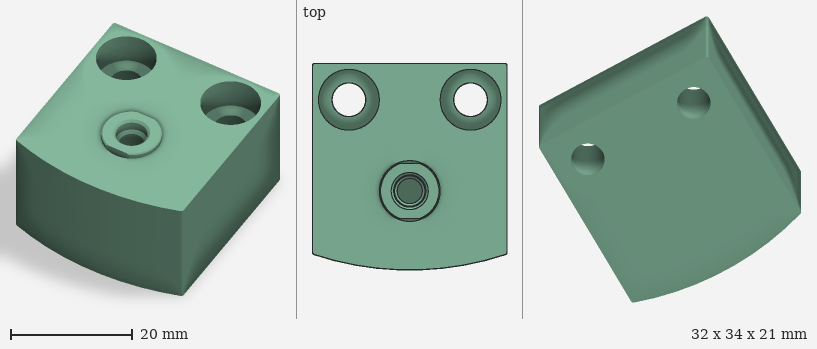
import cadquery as cq
import math

WIDTH = 32.0
LENGTH = 34.0
HEIGHT = 20.0
FRONT_RADIUS = 50.0
CORNER_RADIUS = 0.4
PIN_TO_BACK = 21.0

SCREW_SPACING = 20.0
SCREW_TO_BACK = 6.0
SCREW_HOLE_DIAMETER = 5.5
COUNTERBORE_DIAMETER = 10.0
COUNTERBORE_DEPTH = 5.7

PIN_DIAMETER = 10.0
PIN_PROJECTION = 1.0
PIN_CHAMFER = 0.2
FLATS_WIDTH = 9.0
FLATS_LENGTH = 3.0

MOUTH_DIAMETER = 6.1
RECESS_DIAMETER = 5.3
THREAD_LEAD_DIAMETER = 5.0
THREAD_DIAMETER = 4.13
RECESS_DEPTH = 2.0
BORE_DEPTH = 10.0

back_y = PIN_TO_BACK
front_y = back_y - LENGTH
half_width = WIDTH / 2
front_sagitta = FRONT_RADIUS - math.sqrt(FRONT_RADIUS**2 - half_width**2)
pin_top = HEIGHT + PIN_PROJECTION


def make_block():
    """Plain block with a convex front and rounded upright edges."""
    side_end_y = front_y + front_sagitta
    return (
        cq.Workplane("XY")
        .moveTo(-half_width, back_y)
        .lineTo(-half_width, side_end_y)
        .threePointArc((0, front_y), (half_width, side_end_y))
        .lineTo(half_width, back_y)
        .close()
        .extrude(HEIGHT)
        .edges("|Z")
        .fillet(CORNER_RADIUS)
    )


def cut_screw_holes(block):
    """Through holes with counterbores open at the top face."""
    screw_y = back_y - SCREW_TO_BACK
    half_spacing = SCREW_SPACING / 2
    return (
        block.faces(">Z")
        .workplane(origin=(0, 0, HEIGHT))
        .pushPoints([(-half_spacing, screw_y), (half_spacing, screw_y)])
        .cboreHole(SCREW_HOLE_DIAMETER, COUNTERBORE_DIAMETER, COUNTERBORE_DEPTH)
    )


def make_housing():
    """Screw-mounted block with a through bore for the pin."""
    pin_bore = cq.Workplane("XY").circle(PIN_DIAMETER / 2).extrude(HEIGHT)
    return cut_screw_holes(make_block()).cut(pin_bore)


def make_pin_bore():
    """Revolved bore: chamfered mouth, recess, ledge, conical lead-in and thread core hole."""
    mouth_radius = MOUTH_DIAMETER / 2
    recess_radius = RECESS_DIAMETER / 2
    lead_radius = THREAD_LEAD_DIAMETER / 2
    thread_radius = THREAD_DIAMETER / 2
    mouth_bottom = pin_top - (mouth_radius - recess_radius)
    recess_floor = pin_top - RECESS_DEPTH
    lead_bottom = recess_floor - (lead_radius - thread_radius)
    bore_floor = pin_top - BORE_DEPTH
    return (
        cq.Workplane("XZ")
        .moveTo(0, pin_top)
        .lineTo(mouth_radius, pin_top)
        .lineTo(recess_radius, mouth_bottom)
        .lineTo(recess_radius, recess_floor)
        .lineTo(lead_radius, recess_floor)
        .lineTo(thread_radius, lead_bottom)
        .lineTo(thread_radius, bore_floor)
        .lineTo(0, bore_floor)
        .close()
        .revolve(360, (0, 0), (0, 1))
    )


def make_flat_cutters():
    """Boxes that trim the top end of the pin to the width across its flats."""
    cutter_depth = PIN_DIAMETER - FLATS_WIDTH
    cutter_offset = (FLATS_WIDTH + cutter_depth) / 2
    return (
        cq.Workplane("XY", origin=(0, 0, pin_top - FLATS_LENGTH))
        .pushPoints([(0, -cutter_offset), (0, cutter_offset)])
        .rect(PIN_DIAMETER, cutter_depth)
        .extrude(FLATS_LENGTH)
    )


def make_pin():
    """Round pin, flush with the housing bottom and standing proud of its top."""
    shank = (
        cq.Workplane("XY")
        .circle(PIN_DIAMETER / 2)
        .extrude(pin_top)
        .faces(">Z")
        .chamfer(PIN_CHAMFER)
    )
    return shank.cut(make_flat_cutters()).cut(make_pin_bore())


housing = make_housing()
pin = make_pin()

result = cq.Compound.makeCompound([housing.val(), pin.val()])